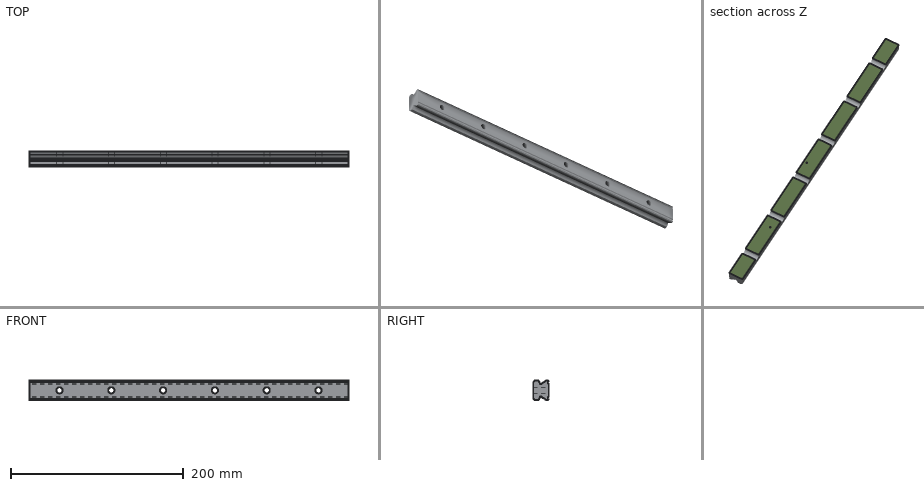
import cadquery as cq
import math

length = 370.0
rail_height = 18.0
rail_width = 23.0

half_width = rail_width / 2
base_y = -rail_height / 2
head_y = rail_height / 2

foot_chamfer = 2.0
foot_shoulder_y = -3.0

head_side_angle = 30.0
foot_side_angle = 60.0
relief_floor_z = 7.1
relief_foot_y = -0.9
relief_head_y = 0.4
raceway_head_y = 4.7
raceway_head_z = 10.3
head_side_slope = math.tan(math.radians(head_side_angle))
foot_side_slope = math.tan(math.radians(foot_side_angle))
relief_head_z = raceway_head_z - (raceway_head_y - relief_head_y) * head_side_slope
relief_foot_z = half_width - (relief_foot_y - foot_shoulder_y) * foot_side_slope

lip_inner_y = 6.9
lip_chamfer = 1.0
lip_run = lip_inner_y - raceway_head_y
lip_drop = half_width - raceway_head_z
lip_radius = (lip_run**2 + lip_drop**2) / (2 * lip_drop)
groove_outer_z = 10.3
groove_floor_z = 8.2
groove_inner_z = 7.4
groove_depth = 1.0

hole_diameter = 7.0
hole_count = 6
hole_pitch = 60.0


def make_rail():
    """Extrude the upper half of the cross-section and mirror it about the middle plane."""
    foot_and_raceway = [
        (base_y, half_width - foot_chamfer),
        (base_y + foot_chamfer, half_width),
        (foot_shoulder_y, half_width),
        (relief_foot_y, relief_foot_z),
        (relief_foot_y, relief_floor_z),
        (relief_head_y, relief_floor_z),
        (relief_head_y, relief_head_z),
        (raceway_head_y, raceway_head_z),
    ]
    lip_and_groove = [
        (head_y - lip_chamfer, half_width),
        (head_y, half_width - lip_chamfer),
        (head_y, groove_outer_z),
        (head_y - groove_depth, groove_outer_z),
        (head_y - groove_depth, groove_floor_z),
        (head_y, groove_inner_z),
        (head_y, 0),
    ]
    section = (
        cq.Workplane("YZ")
        .moveTo(base_y, 0)
        .polyline(foot_and_raceway, includeCurrent=True)
        .radiusArc((lip_inner_y, half_width), lip_radius)
        .polyline(lip_and_groove, includeCurrent=True)
        .close()
    )
    half_rail = section.extrude(length / 2, both=True)
    return half_rail.mirror("XY", union=True).clean()


def make_mounting_holes():
    """Row of evenly spaced through holes, centred along the rail."""
    return (
        cq.Workplane("XZ")
        .rarray(hole_pitch, 1, hole_count, 1)
        .circle(hole_diameter / 2)
        .extrude(rail_height, both=True)
    )


result = make_rail().cut(make_mounting_holes())